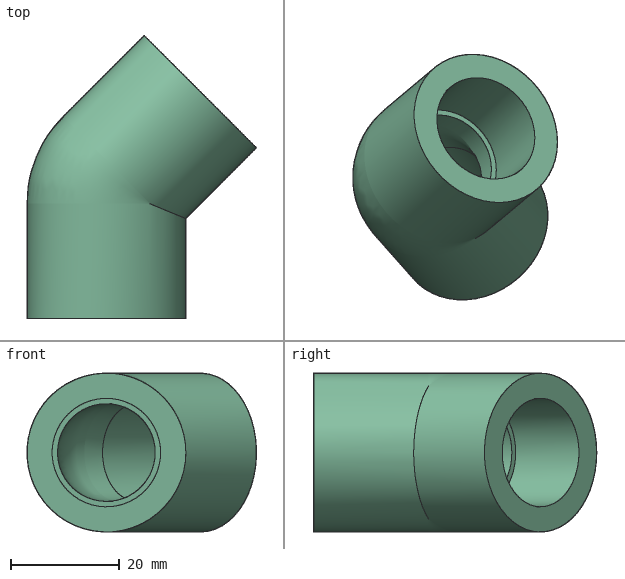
import cadquery as cq
import math

outer_diameter = 29.3
bore_diameter = 18.0
socket_diameter = 20.0
bend_angle = 45.0
bend_radius = 8.0
center_to_end = 24.5
socket_depth = 16.5

bend_setback = bend_radius * math.tan(math.radians(bend_angle / 2))
arm_length = center_to_end - bend_setback


def inlet_cylinder(diameter, length):
    """Cylinder from the inlet end face along +Y."""
    inlet_plane = cq.Workplane("XZ", origin=(0, -center_to_end, 0))
    return inlet_plane.circle(diameter / 2).extrude(-length)


def outlet_cylinder(diameter, length):
    """Cylinder from the outlet end face inward along its own axis."""
    reversed_inlet = inlet_cylinder(diameter, length).rotate((0, 0, 0), (0, 0, 1), 180)
    return reversed_inlet.rotate((0, 0, 0), (0, 0, 1), -bend_angle)


def bend(diameter):
    """Sector of a torus, keeping only the section outside the bend axis."""
    radius = diameter / 2
    half_chord = math.sqrt(radius**2 - bend_radius**2)
    return (
        cq.Workplane("XZ", origin=(0, -bend_setback, 0))
        .moveTo(bend_radius, -half_chord)
        .threePointArc((-radius, 0), (bend_radius, half_chord))
        .close()
        .revolve(bend_angle, (bend_radius, 1), (bend_radius, -1))
    )


def bent_pipe(diameter):
    """Solid rod following both arms and the bend; the arms meet in a miter inside the bend."""
    arms = inlet_cylinder(diameter, arm_length).union(outlet_cylinder(diameter, arm_length))
    return arms.union(bend(diameter))


body = bent_pipe(outer_diameter).cut(bent_pipe(bore_diameter))

result = (
    body
    .cut(inlet_cylinder(socket_diameter, socket_depth))
    .cut(outlet_cylinder(socket_diameter, socket_depth))
)